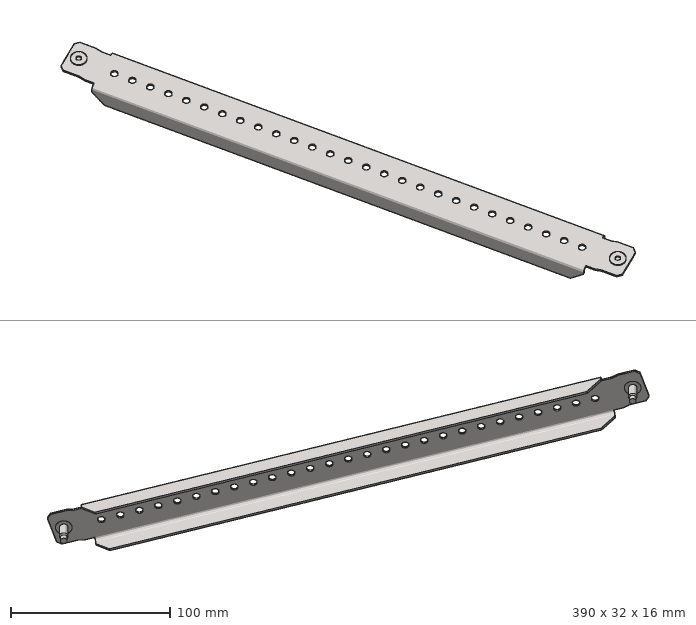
import cadquery as cq
import math

length = 390.0
width = 32.0
height = 16.0

sheet = 1.5
bend_radius = 3.7
inner_bend_radius = bend_radius - sheet

pin_center = 187.2
pin_head_diameter = 10.5
pin_head_rise = 0.8
pin_diameter = 5.5
pin_tip_diameter = 4.3
pin_tip_length = 3.5
pin_taper_length = 1.0
socket_diameter = 3.5
socket_depth = 1.0

web_width = width - 2 * bend_radius
tab_rise = sheet
slope_outer = 181.5
slope_inner = 177.0
tab_corner_chamfer = 2.7

flange_half_length = 171.0
flange_chamfer = 9.0

hole_count = 27
hole_row_span = 325.0
hole_diameter = 4.5

head_top = 0.0
tab_top = head_top - pin_head_rise
tab_bottom = tab_top - sheet
web_top = tab_top - tab_rise
bottom = head_top - height


def round_slope_edges(web, x, z, radius):
    """Round the two crosswise edges at distance x on both sides of the middle."""
    for side in (-1, 1):
        web = web.edges(cq.selectors.NearestToPointSelector((side * x, 0, z))).fillet(radius)
    return web


def make_web():
    """Flat web with a raised tab at each end, joined by rounded slopes."""
    slope_angle = math.atan2(tab_rise, slope_outer - slope_inner)
    underside_shift = sheet * math.tan(slope_angle / 2)
    outer_under = slope_outer + underside_shift
    inner_under = slope_inner + underside_shift
    web_bottom = web_top - sheet
    right_half = [
        (slope_inner, web_top),
        (slope_outer, tab_top),
        (length / 2, tab_top),
        (length / 2, tab_bottom),
        (outer_under, tab_bottom),
        (inner_under, web_bottom),
    ]
    left_half = [(-x, z) for x, z in reversed(right_half)]
    web = (
        cq.Workplane("XZ")
        .polyline(right_half + left_half)
        .close()
        .extrude(web_width / 2, both=True)
        .edges("|Z")
        .chamfer(tab_corner_chamfer)
    )
    web = round_slope_edges(web, slope_outer, tab_top, bend_radius)
    web = round_slope_edges(web, outer_under, tab_bottom, inner_bend_radius)
    web = round_slope_edges(web, slope_inner, web_top, inner_bend_radius)
    return round_slope_edges(web, inner_under, web_bottom, bend_radius)


def make_rounded_bar(bar_width, top, radius):
    """Bar along the flanges, standing on the bottom level, with rounded upper long edges."""
    return (
        cq.Workplane("XY", origin=(0, 0, bottom))
        .box(2 * flange_half_length, bar_width, top - bottom, centered=(True, True, False))
        .edges("|X and >Z")
        .fillet(radius)
    )


def make_channel():
    """Downward channel whose flanges have their lower corners cut at 45 degrees."""
    outside = (
        make_rounded_bar(width, web_top, bend_radius)
        .edges("|Y and <Z")
        .chamfer(flange_chamfer)
    )
    inside = make_rounded_bar(width - 2 * sheet, web_top - sheet, inner_bend_radius)
    return outside.cut(inside)


def make_bracket():
    """Sheet bracket with its row of holes and a seat for each pin head."""
    row_holes = (
        cq.Workplane("XY", origin=(0, 0, bottom))
        .rarray(hole_row_span / (hole_count - 1), 4, hole_count, 1)
        .circle(hole_diameter / 2)
        .extrude(height)
    )
    pin_seats = (
        cq.Workplane("XY", origin=(0, 0, tab_bottom))
        .pushPoints([(-pin_center, 0), (pin_center, 0)])
        .circle(pin_head_diameter / 2)
        .extrude(sheet)
    )
    return make_web().union(make_channel()).cut(row_holes).cut(pin_seats).solids()


def make_pin(x):
    """Turned pin with a socketed head, a shank and a thinner tip."""
    tip_top = bottom + pin_tip_length
    half_profile = [
        (0, bottom),
        (pin_tip_diameter / 2, bottom),
        (pin_tip_diameter / 2, tip_top),
        (pin_diameter / 2, tip_top + pin_taper_length),
        (pin_diameter / 2, tab_bottom),
        (pin_head_diameter / 2, tab_bottom),
        (pin_head_diameter / 2, head_top),
        (socket_diameter / 2, head_top),
        (socket_diameter / 2, head_top - socket_depth),
        (0, head_top - socket_depth),
    ]
    return (
        cq.Workplane("XZ")
        .polyline(half_profile)
        .close()
        .revolve(360, (0, 0, 0), (0, 1, 0))
        .translate((x, 0, 0))
    )


bracket = make_bracket()
pins = [make_pin(side * pin_center) for side in (-1, 1)]

result = cq.Compound.makeCompound([bracket.val(), *[pin.val() for pin in pins]])